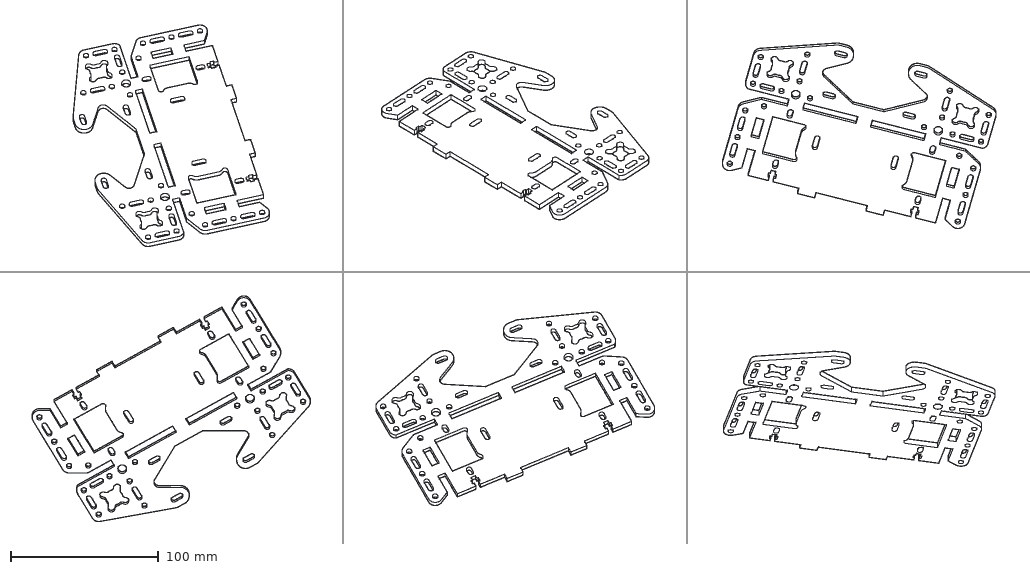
import cadquery as cq
import math


LENGTH = 170.0
THICKNESS = 4.0
BODY_TOP = 65.0
TAB_TOP = 68.8

HOLE_SPAN = 60.0
PITCH = HOLE_SPAN / 3
HOLE_DIAMETER = 3.5
BORE_DIAMETER = 6.0
EDGE_RADIUS = PITCH / 4
EDGE_HOLE_X = -LENGTH / 2 + EDGE_RADIUS
BORE_X = EDGE_HOLE_X + 1.5 * PITCH
GRID_SLOT_LENGTH = PITCH / 2

SLOPE = 30
TAB_INNER_X = -18.0
TAB_OUTER_X = -30.1
NOTCH_INNER_X = -65.8
NOTCH_OUTER_X = -71.2
NOTCH_BOTTOM = 46.4
GAP_TOP = 9.4
GAP_BOTTOM = 4.5
NECK_OUTER_X = -53.4
CROTCH_X = -10.9
CROTCH_Y = -3.7
CROTCH_RADIUS = 3.5

FOOT_X = -28.0
FOOT_Y = -36.2
FOOT_RADIUS = 6.1
FOOT_SLOT_SPACING = 5.1
FOOT_SLOT_LENGTH = FOOT_SLOT_SPACING + HOLE_DIAMETER
ARM_SLOT_Y = -5.5

GAP_SLOT_INNER_X = -5.1
GAP_SLOT_OUTER_X = -42.5

WING_SLOT_TOP = 37.2
WING_SLOT_BOTTOM = 23.3
WING_HOLE_Y = 13.8

WINDOW_Y = 33.3
WINDOW_HEIGHT = 27.5
WINDOW_OUTER_X = -60.7
WINDOW_INNER_X = -39.1
WINDOW_LOBE_DEPTH = 2.2
WINDOW_LOBE_RADIUS = 1.9
WINDOW_BLEND_RADIUS = 4.5
SHORT_SLOT_LENGTH = 6.1
SHORT_SLOT_OFFSET = 18.9
CENTRE_SLOT_X = -27.5

SCREW_WIDTH = 3.2
SCREW_BOTTOM = 57.3
NUT_WIDTH = 5.5
NUT_TOP = 62.2
NUT_BOTTOM = 59.5

CLOVER_X = EDGE_HOLE_X + 0.75 * PITCH
CLOVER_Y = -15.1
CLOVER_RADIUS = 6.0
CLOVER_LOBE_RADIUS = 2.4
CLOVER_LOBE_OFFSET = 5.5
CLOVER_BLEND_RADIUS = 2.4


def polar(centre, radius, degrees):
    angle = math.radians(degrees)
    return (centre[0] + radius * math.cos(angle), centre[1] + radius * math.sin(angle))


def add_arc(path, centre, radius, start, end):
    """Line to the start of an arc, then follow the arc to its end (angles in degrees)."""
    path = path.lineTo(*polar(centre, radius, start))
    return path.threePointArc(polar(centre, radius, (start + end) / 2), polar(centre, radius, end))


def half_plate():
    tan_slope = math.tan(math.radians(SLOPE))
    wing_top = (EDGE_HOLE_X, 3 * PITCH)
    wing_bottom = (EDGE_HOLE_X, PITCH)
    arm_top = (EDGE_HOLE_X, 0)
    arm_bottom = (EDGE_HOLE_X, -PITCH)
    foot_outer = (FOOT_X - FOOT_SLOT_SPACING / 2, FOOT_Y)
    foot_inner = (FOOT_X + FOOT_SLOT_SPACING / 2, FOOT_Y)

    upper_tangent = polar(wing_top, EDGE_RADIUS, 90 - SLOPE)
    notch_corner_y = upper_tangent[1] - (NOTCH_OUTER_X - upper_tangent[0]) * tan_slope
    lower_tangent = polar(wing_bottom, EDGE_RADIUS, 270 - SLOPE)
    gap_corner_x = lower_tangent[0] + (lower_tangent[1] - GAP_TOP) / tan_slope

    arm_start = math.degrees(math.asin(GAP_BOTTOM / EDGE_RADIUS))

    run = foot_outer[0] - arm_bottom[0]
    drop = arm_bottom[1] - foot_outer[1]
    taper = math.asin((FOOT_RADIUS - EDGE_RADIUS) / math.hypot(run, drop))
    tangent_angle = 270 - math.degrees(math.atan2(drop, run) + taper)

    foot_tangent = polar(foot_inner, FOOT_RADIUS, 90 - SLOPE)
    rise = CROTCH_Y - foot_tangent[1]
    point_x = (CROTCH_X + foot_tangent[0] - rise / tan_slope) / 2
    point_y = CROTCH_Y - (CROTCH_X - point_x) * tan_slope
    crotch = (point_x + CROTCH_RADIUS / math.sin(math.radians(SLOPE)), point_y)

    path = (
        cq.Workplane("XY")
        .moveTo(0, BODY_TOP)
        .lineTo(TAB_INNER_X, BODY_TOP)
        .lineTo(TAB_INNER_X, TAB_TOP)
        .lineTo(TAB_OUTER_X, TAB_TOP)
        .lineTo(TAB_OUTER_X, BODY_TOP)
        .lineTo(NOTCH_INNER_X, BODY_TOP)
        .lineTo(NOTCH_INNER_X, NOTCH_BOTTOM)
        .lineTo(NOTCH_OUTER_X, NOTCH_BOTTOM)
        .lineTo(NOTCH_OUTER_X, notch_corner_y)
    )
    path = add_arc(path, wing_top, EDGE_RADIUS, 90 - SLOPE, 180)
    path = add_arc(path, wing_bottom, EDGE_RADIUS, 180, 270 - SLOPE)
    path = (
        path.lineTo(gap_corner_x, GAP_TOP)
        .lineTo(NECK_OUTER_X, GAP_TOP)
        .lineTo(NECK_OUTER_X, GAP_BOTTOM)
    )
    path = add_arc(path, arm_top, EDGE_RADIUS, 180 - arm_start, 180)
    path = add_arc(path, arm_bottom, EDGE_RADIUS, 180, tangent_angle)
    path = add_arc(path, foot_outer, FOOT_RADIUS, tangent_angle, 270)
    path = add_arc(path, foot_inner, FOOT_RADIUS, -90, 90 - SLOPE)
    path = add_arc(path, crotch, CROTCH_RADIUS, 270 - SLOPE, 90 + SLOPE)
    path = path.lineTo(CROTCH_X, CROTCH_Y).lineTo(0, CROTCH_Y)
    return path.close().extrude(THICKNESS)


def round_holes(diameter, points):
    return cq.Workplane("XY").pushPoints(points).circle(diameter / 2).extrude(THICKNESS)


def slots(length, angle, points):
    return cq.Workplane("XY").pushPoints(points).slot2D(length, HOLE_DIAMETER, angle).extrude(THICKNESS)


def rectangle(x_min, x_max, y_min, y_max):
    corner = cq.Workplane("XY").moveTo(x_min, y_min)
    return corner.lineTo(x_max, y_min).lineTo(x_max, y_max).lineTo(x_min, y_max).close().extrude(THICKNESS)


def nut_slot():
    screw = rectangle(BORE_X - SCREW_WIDTH / 2, BORE_X + SCREW_WIDTH / 2, SCREW_BOTTOM, BODY_TOP)
    nut = rectangle(BORE_X - NUT_WIDTH / 2, BORE_X + NUT_WIDTH / 2, NUT_BOTTOM, NUT_TOP)
    return screw.union(nut)


def window():
    """Rectangle whose inner corners swell into round lobes blended into the inner side."""
    top = WINDOW_Y + WINDOW_HEIGHT / 2
    bottom = WINDOW_Y - WINDOW_HEIGHT / 2
    lobe_x = WINDOW_INNER_X + WINDOW_LOBE_DEPTH - WINDOW_LOBE_RADIUS
    lobe_top = (lobe_x, top - WINDOW_LOBE_RADIUS)
    lobe_bottom = (lobe_x, bottom + WINDOW_LOBE_RADIUS)

    radii = WINDOW_LOBE_RADIUS + WINDOW_BLEND_RADIUS
    turn = math.degrees(math.acos(1 - WINDOW_LOBE_DEPTH / radii))
    blend_top = polar(lobe_top, radii, -turn)
    blend_bottom = polar(lobe_bottom, radii, turn)

    path = cq.Workplane("XY").moveTo(WINDOW_OUTER_X, bottom).lineTo(WINDOW_OUTER_X, top)
    path = path.lineTo(lobe_x, top)
    path = path.threePointArc(
        polar(lobe_top, WINDOW_LOBE_RADIUS, 45), polar(lobe_top, WINDOW_LOBE_RADIUS, -turn)
    )
    path = path.threePointArc(
        polar(blend_top, WINDOW_BLEND_RADIUS, 180 - turn / 2), polar(blend_top, WINDOW_BLEND_RADIUS, 180)
    )
    path = add_arc(path, blend_bottom, WINDOW_BLEND_RADIUS, 180, 180 + turn)
    path = path.threePointArc(
        polar(lobe_bottom, WINDOW_LOBE_RADIUS, -45), polar(lobe_bottom, WINDOW_LOBE_RADIUS, -90)
    )
    return path.close().extrude(THICKNESS)


def clover():
    """Round opening with four lobes on its diagonals, the corners between them blended."""
    lobe_points = [
        (x * CLOVER_LOBE_OFFSET, y * CLOVER_LOBE_OFFSET) for x in (-1, 1) for y in (-1, 1)
    ]
    opening = round_holes(2 * CLOVER_RADIUS, [(0, 0)])
    opening = opening.union(round_holes(2 * CLOVER_LOBE_RADIUS, lobe_points))
    opening = opening.edges("|Z").fillet(CLOVER_BLEND_RADIUS)
    return opening.translate((CLOVER_X, CLOVER_Y, 0))


notch_x = (NOTCH_INNER_X + NOTCH_OUTER_X) / 2

grid_holes = [(EDGE_HOLE_X, row * PITCH) for row in (-1, 0, 1, 2, 3)]
grid_holes += [(BORE_X - PITCH / 2, 0), (BORE_X + PITCH / 2, 0)]
grid_holes += [(BORE_X, -PITCH / 2), (BORE_X, -1.5 * PITCH)]
grid_holes += [(notch_x, WING_HOLE_Y)]

upright_slots = [(EDGE_HOLE_X, row * PITCH) for row in (-0.5, 1.5, 2.5)]
upright_slots += [(BORE_X, -PITCH), (CENTRE_SLOT_X, 1.5 * PITCH)]

short_slots = [(BORE_X, WINDOW_Y + SHORT_SLOT_OFFSET), (BORE_X, WINDOW_Y - SHORT_SLOT_OFFSET)]

cutters = [
    round_holes(HOLE_DIAMETER, grid_holes),
    round_holes(BORE_DIAMETER, [(BORE_X, 0)]),
    slots(GRID_SLOT_LENGTH, 90, upright_slots),
    slots(GRID_SLOT_LENGTH, 0, [(EDGE_HOLE_X + PITCH / 2, 0)]),
    slots(SHORT_SLOT_LENGTH, 90, short_slots),
    slots(FOOT_SLOT_LENGTH, 0, [(FOOT_X, FOOT_Y), (FOOT_X, ARM_SLOT_Y)]),
    rectangle(GAP_SLOT_OUTER_X, GAP_SLOT_INNER_X, GAP_BOTTOM, GAP_TOP),
    rectangle(NOTCH_OUTER_X, NOTCH_INNER_X, WING_SLOT_BOTTOM, WING_SLOT_TOP),
    nut_slot(),
    window(),
    clover(),
]

half = half_plate()
for cutter in cutters:
    half = half.cut(cutter)

result = half.union(half.mirror("YZ")).clean()